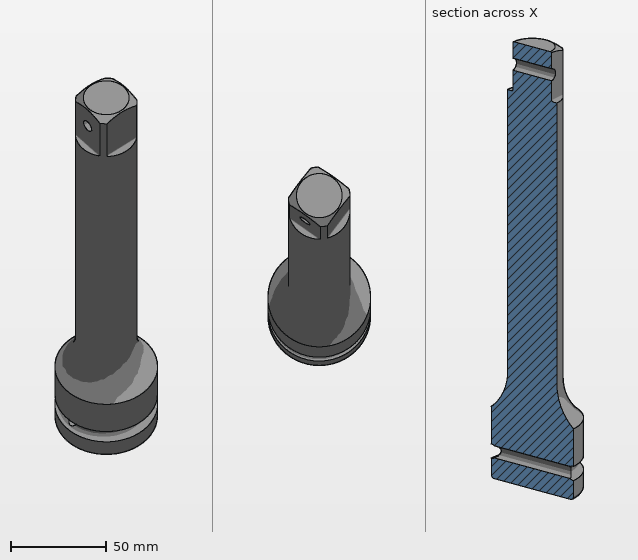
import cadquery as cq
import math

total_length = 250.0
head_radius = 27.0
shaft_radius = 16.2

flare_bottom = 40.5
flare_top = 63.0
tang_length = 28.0
shoulder_height = total_length - tang_length

tang_width = 25.5
tang_root_fillet = 0.8
tip_radius = 12.0
tip_chamfer_angle = 30.0

groove_center_height = 15.2
groove_radius = 4.0
bottom_edge_fillet = 2.2
pin_hole_diameter = 6.5
tang_hole_height = total_length - 13.0


def turned_body():
    """Revolve the head, concave flare, shaft and conical tip as one profile."""
    tip_drop = (shaft_radius - tip_radius) * math.tan(math.radians(tip_chamfer_angle))

    flare_height = flare_top - flare_bottom
    flare_spread = head_radius - shaft_radius
    flare_radius = (flare_height**2 + flare_spread**2) / (2 * flare_spread)
    half_sweep = math.asin(flare_height / flare_radius) / 2
    flare_middle = (
        shaft_radius + flare_radius * (1 - math.cos(half_sweep)),
        flare_top - flare_radius * math.sin(half_sweep),
    )

    profile = (
        cq.Workplane("XZ")
        .lineTo(head_radius, 0)
        .lineTo(head_radius, flare_bottom)
        .threePointArc(flare_middle, (shaft_radius, flare_top))
        .lineTo(shaft_radius, total_length - tip_drop)
        .lineTo(tip_radius, total_length)
        .lineTo(0, total_length)
        .close()
    )
    body = profile.revolve(360, (0, 0, 0), (0, 1, 0))
    return body.faces("<Z").edges().fillet(bottom_edge_fillet)


def groove_ring():
    """Round-bottomed ring that cuts the groove around the head."""
    return (
        cq.Workplane("XZ")
        .center(head_radius, groove_center_height)
        .circle(groove_radius)
        .revolve(360, (-head_radius, 0, 0), (-head_radius, 1, 0))
    )


def tang_flat_cutter():
    """Material outside the square tang, leaving a fillet at the root of each flat."""
    blank_width = 4 * shaft_radius
    blank = (
        cq.Workplane("XY", origin=(0, 0, shoulder_height))
        .rect(blank_width, blank_width)
        .rect(tang_width, tang_width)
        .extrude(tang_length)
    )
    root_edges = cq.selectors.BoxSelector(
        (-tang_width, -tang_width, shoulder_height - tang_root_fillet),
        (tang_width, tang_width, shoulder_height + tang_root_fillet),
    )
    return blank.edges(root_edges).fillet(tang_root_fillet)


def cross_hole(height):
    """Cylinder along Y that drills through the axis at the given height."""
    return (
        cq.Workplane("XZ", origin=(0, 0, height))
        .circle(pin_hole_diameter / 2)
        .extrude(2 * head_radius, both=True)
    )


result = turned_body().cut(groove_ring()).cut(tang_flat_cutter())
for hole_height in (groove_center_height, tang_hole_height):
    result = result.cut(cross_hole(hole_height))